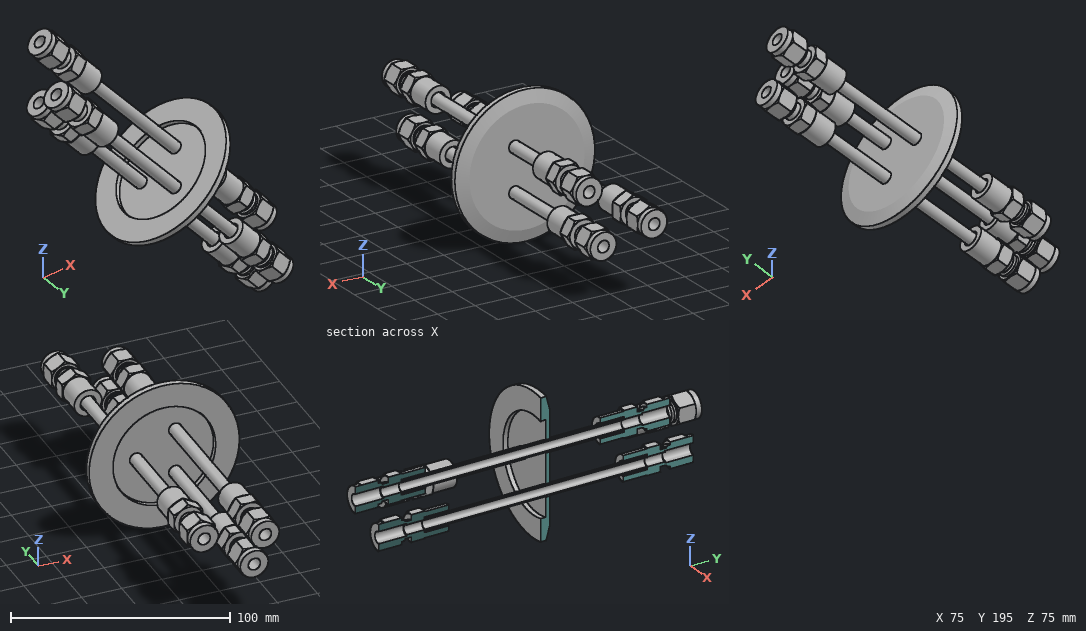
import cadquery as cq
import math

FLANGE_DIAMETER = 75.0
FLANGE_THICKNESS = 5.0
RIM_THICKNESS = 3.2
TAPER_ANGLE = 15.0
RECESS_DIAMETER = 51.2
RECESS_DEPTH = 2.6

TUBE_DIAMETER = 6.35
TUBE_BORE = 4.5
TUBE_LENGTH = 120.0
TUBE_CIRCLE_RADIUS = 13.0

FITTING_LENGTH = 38.0
NUT_ACROSS_FLATS = 13.97
NUT_HEX_START = 3.1
NUT_LENGTH = 12.7
BODY_ACROSS_FLATS = 14.29
HEX_BEVEL_ANGLE = 30.0
COLLAR_DIAMETER = 11.11
COLLAR_END = 14.8
COLLAR_CHAMFER = 0.9
NECK_DIAMETER = 8.95
BODY_HEX_START = 17.7
BODY_HEX_END = 25.1
SLEEVE_DIAMETER = 13.72
PORT_DIAMETER = 6.0
PORT_DEPTH = 15.24
FITTING_BORE = 4.8
SOCKET_DIAMETER = 7.62

LINE_LENGTH = 170.0
SOCKET_BOTTOM = (LINE_LENGTH - TUBE_LENGTH) / 2

FRONT_END = -100.0
STAGGER = 12.5
LINES = [
    (60.0, FRONT_END, 0.0),
    (-60.0, FRONT_END + STAGGER, 0.0),
    (180.0, FRONT_END + 2 * STAGGER, 90.0),
]


def tube_axis(angle):
    """X and Z of a tube axis at an angle on the tube circle."""
    turn = math.radians(angle)
    return TUBE_CIRCLE_RADIUS * math.cos(turn), TUBE_CIRCLE_RADIUS * math.sin(turn)


def rod(diameter, start, end):
    """Cylinder on the Z axis between two stations."""
    return cq.Workplane("XY").workplane(offset=start).circle(diameter / 2).extrude(end - start)


def along_y(shape):
    """Lay a shape built along +Z onto +Y."""
    return shape.rotate((0, 0, 0), (1, 0, 0), -90)


def make_flange():
    """Tapered disc with a shallow front recess and a hole for each tube."""
    rim_radius = FLANGE_DIAMETER / 2
    taper_height = FLANGE_THICKNESS - RIM_THICKNESS
    back_radius = rim_radius - taper_height / math.tan(math.radians(TAPER_ANGLE))
    profile = [
        (0, 0),
        (rim_radius, 0),
        (rim_radius, RIM_THICKNESS),
        (back_radius, FLANGE_THICKNESS),
        (0, FLANGE_THICKNESS),
    ]
    disc = cq.Workplane("XY").polyline(profile).close().revolve(360, (0, 0, 0), (0, 1, 0))
    disc = disc.cut(along_y(rod(RECESS_DIAMETER, 0, RECESS_DEPTH)))
    for angle, _, _ in LINES:
        x, z = tube_axis(angle)
        hole = along_y(rod(TUBE_DIAMETER, 0, FLANGE_THICKNESS))
        disc = disc.cut(hole.translate((x, 0, z)))
    return disc


def make_tube():
    """Plain tube along +Y that starts at the origin."""
    return along_y(rod(TUBE_DIAMETER, 0, TUBE_LENGTH).cut(rod(TUBE_BORE, 0, TUBE_LENGTH)))


def beveled_hex(across_flats, start, end):
    """Hexagonal prism, two flats facing +-Y, with its corners beveled at both ends."""
    corner_diameter = across_flats / math.cos(math.pi / 6)
    bevel_width = (corner_diameter - across_flats) / 2
    bevel_height = bevel_width * math.tan(math.radians(HEX_BEVEL_ANGLE))
    prism = cq.Workplane("XY").workplane(offset=start).polygon(6, corner_diameter).extrude(end - start)
    envelope = rod(corner_diameter, start, end).edges().chamfer(bevel_height, bevel_width)
    return prism.intersect(envelope)


def make_fitting(hex_turn):
    """Compression fitting along +Y, with its outer end face at the origin."""
    collar = rod(COLLAR_DIAMETER, NUT_LENGTH, COLLAR_END).faces(">Z").chamfer(COLLAR_CHAMFER)
    fitting = (
        rod(NUT_ACROSS_FLATS, 0, NUT_HEX_START)
        .union(beveled_hex(NUT_ACROSS_FLATS, NUT_HEX_START, NUT_LENGTH))
        .union(collar)
        .union(rod(NECK_DIAMETER, COLLAR_END, BODY_HEX_START))
        .union(beveled_hex(BODY_ACROSS_FLATS, BODY_HEX_START, BODY_HEX_END))
        .union(rod(SLEEVE_DIAMETER, BODY_HEX_END, FITTING_LENGTH))
    )
    fitting = fitting.cut(rod(PORT_DIAMETER, 0, PORT_DEPTH))
    fitting = fitting.cut(rod(FITTING_BORE, PORT_DEPTH, SOCKET_BOTTOM))
    fitting = fitting.cut(rod(SOCKET_DIAMETER, SOCKET_BOTTOM, FITTING_LENGTH))
    return along_y(fitting.rotate((0, 0, 0), (0, 0, 1), hex_turn))


bodies = [make_flange().val()]
for angle, front_end, hex_turn in LINES:
    x, z = tube_axis(angle)
    front_fitting = make_fitting(hex_turn)
    back_fitting = front_fitting.rotate((0, 0, 0), (0, 0, 1), 180)
    bodies.append(make_tube().translate((x, front_end + SOCKET_BOTTOM, z)).val())
    bodies.append(front_fitting.translate((x, front_end, z)).val())
    bodies.append(back_fitting.translate((x, front_end + LINE_LENGTH, z)).val())

result = cq.Compound.makeCompound(bodies)